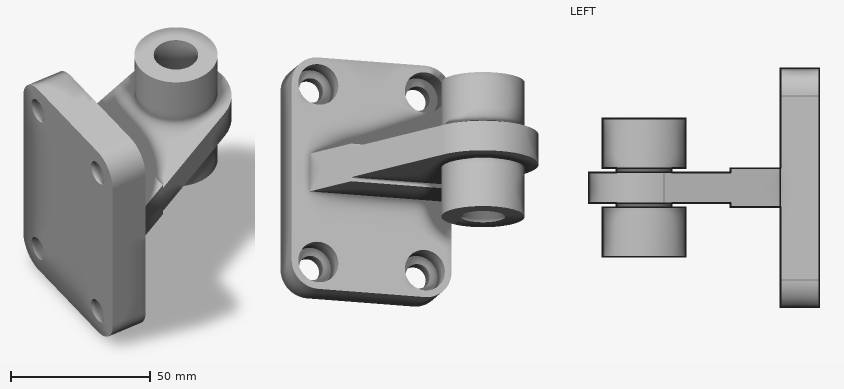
import cadquery as cq
import math

plate_width = 60.0
plate_height = 86.0
plate_thickness = 14.0
plate_corner_radius = 10.0

screw_diameter = 9.0
screw_edge_distance = 10.0
counterbore_diameter = 15.0
counterbore_depth = 9.0

hinge_x = 3.0
hinge_y = 63.0

arm_end_radius = 20.0
arm_root_left = 0.0
arm_root_right = 53.2
arm_thickness = 11.0
root_thickness = 14.0
root_end_y = 32.0

collar_diameter = 30.0
hub_length = 49.8
neck_diameter = 20.0
neck_length = 14.0
bore_diameter = 16.0


def tangent_point(root_x, side):
    """Point where a line from the arm root touches the round end; side is -1 (left) or +1 (right)."""
    dx = root_x - hinge_x
    dy = plate_thickness - hinge_y
    toward_root = math.atan2(dy, dx)
    offset = math.acos(arm_end_radius / math.hypot(dx, dy))
    angle = toward_root + side * offset
    return (
        hinge_x + arm_end_radius * math.cos(angle),
        hinge_y + arm_end_radius * math.sin(angle),
    )


def centered_prism(sketch, thickness):
    """Extrude a closed XY outline equally to both sides of z = 0."""
    return sketch.extrude(thickness / 2, both=True)


def hinge_cylinder(diameter, length):
    """Cylinder on the hinge axis, centered on z = 0."""
    circle = cq.Workplane("XY").center(hinge_x, hinge_y).circle(diameter / 2)
    return centered_prism(circle, length)


def make_plate():
    """Rounded plate with one corner at the origin in X and Y, centered on z = 0."""
    return (
        cq.Workplane("XY")
        .box(plate_width, plate_thickness, plate_height, centered=(False, False, True))
        .edges("|Y")
        .fillet(plate_corner_radius)
    )


def arm_outline():
    return (
        cq.Workplane("XY")
        .moveTo(arm_root_left, plate_thickness)
        .lineTo(*tangent_point(arm_root_left, -1))
        .threePointArc(
            (hinge_x, hinge_y + arm_end_radius),
            tangent_point(arm_root_right, 1),
        )
        .lineTo(arm_root_right, plate_thickness)
        .close()
    )


def make_arm():
    """Thin arm with a thicker root next to the plate."""
    thin_arm = centered_prism(arm_outline(), arm_thickness)
    root_length = root_end_y - plate_thickness
    zone_width = 2 * (plate_width + arm_end_radius)
    root_zone = (
        cq.Workplane("XY")
        .box(zone_width, root_length, root_thickness)
        .translate((0, plate_thickness + root_length / 2, 0))
    )
    root = centered_prism(arm_outline(), root_thickness).intersect(root_zone)
    return thin_arm.union(root)


def make_hub():
    neck = hinge_cylinder(neck_diameter, neck_length)
    collars = hinge_cylinder(collar_diameter, hub_length).cut(
        hinge_cylinder(collar_diameter, neck_length)
    )
    return neck.union(collars)


def cut_screw_holes(body):
    spacing_x = plate_width - 2 * screw_edge_distance
    spacing_z = plate_height - 2 * screw_edge_distance
    arm_side = cq.Workplane("XZ", origin=(plate_width / 2, plate_thickness, 0))
    holes = arm_side.rarray(spacing_x, spacing_z, 2, 2)
    through = holes.circle(screw_diameter / 2).extrude(plate_thickness)
    counterbores = holes.circle(counterbore_diameter / 2).extrude(counterbore_depth)
    return body.cut(through).cut(counterbores)


plate = cut_screw_holes(make_plate())
bracket = plate.union(make_arm()).union(make_hub())
result = bracket.cut(hinge_cylinder(bore_diameter, hub_length))